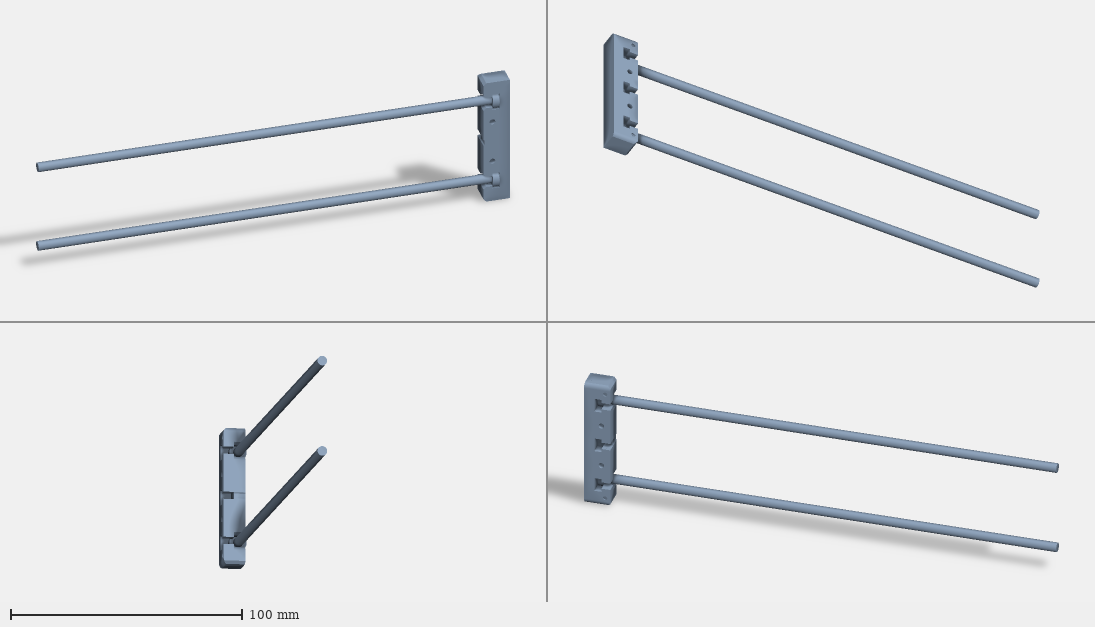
import cadquery as cq
import math

stack_height = 60.0
stack_depth = 11.9
cover_thickness = 1.31
backing_thickness = 1.87
spacer_thickness = 1.31
block_thickness = 5.0
end_round = 2.3
front_chamfer = 1.3

cover_end = cover_thickness
round_height = math.sqrt(end_round**2 - (end_round - cover_thickness) ** 2)
backing_end = cover_end + backing_thickness
spacer_end = backing_end + spacer_thickness
stack_width = spacer_end + block_thickness

overall_length = 212.0
overall_width = 10.8
rod_diameter = 4.2
rod_x = 7.0
rod_z = 20.0
head_radius = overall_width - rod_x
head_thickness = 3.2
head_chamfer = 0.5
rod_reach = overall_length - stack_depth

neck_width = 3.2
window_width = 6.4
head_y = 4.0

channel_width = 5.0
groove_mouth = 3.2
groove_floor = 2.0
groove_depth = 0.5

hole_diameter = 2.5
hole_y = 4.0
hole_z = 10.0
pin_diameter = 3.0
pin_y = 2.3
pin_z = 26.0
socket_diameter = 2.0
socket_depth = 0.6


def box(x_start, x_end, y_start, y_end, z_center, z_size):
    """Box given by its X and Y limits and its centre and size along Z."""
    corner = (x_start, y_start, z_center - z_size / 2)
    return cq.Workplane("XY").box(x_end - x_start, y_end - y_start, z_size, centered=False).translate(corner)


def prism_along_x(points, x_start, x_end):
    """Prism with a (y, z) outline, running from x_start to x_end."""
    return cq.Workplane("YZ").workplane(offset=x_start).polyline(points).close().extrude(x_end - x_start)


def cylinder_along_x(diameter, y, z, length):
    """Cylinder that starts at the cover face, x = 0."""
    return cq.Workplane("YZ").center(y, z).circle(diameter / 2).extrude(length)


def mouth(x_start, x_end, z_center, front_width, back_width, depth):
    """Tapered opening in the front face, running along X."""
    points = [
        (0, z_center - front_width / 2),
        (0, z_center + front_width / 2),
        (depth, z_center + back_width / 2),
        (depth, z_center - back_width / 2),
    ]
    return prism_along_x(points, x_start, x_end)


def layer(x_start, x_end):
    """Slice of the rounded and chamfered stack, with its through holes and pin holes."""
    half = stack_height / 2
    shoulder = half - round_height
    outline = (
        cq.Workplane("XZ")
        .moveTo(stack_width, half)
        .lineTo(cover_end, half)
        .radiusArc((0, shoulder), -end_round)
        .lineTo(0, -shoulder)
        .radiusArc((cover_end, -half), -end_round)
        .lineTo(stack_width, -half)
        .close()
    )
    stack = outline.extrude(-stack_depth)
    for side in (-1, 1):
        corner = [(0, side * half), (front_chamfer, side * half), (0, side * (half - front_chamfer))]
        stack = stack.cut(prism_along_x(corner, 0, stack_width))
        stack = stack.cut(cylinder_along_x(hole_diameter, hole_y, side * hole_z, stack_width))
        stack = stack.cut(cylinder_along_x(pin_diameter, pin_y, side * pin_z, stack_width))
    return stack.intersect(box(x_start, x_end, 0, stack_depth, 0, stack_height))


def slotted_layer(x_start, x_end):
    """Layer with a T-shaped opening at each rod and at the centre."""
    plate = layer(x_start, x_end)
    for z in (-rod_z, 0, rod_z):
        plate = plate.cut(box(x_start, x_end, 0, head_y, z, neck_width))
        plate = plate.cut(box(x_start, x_end, head_y, head_y + head_thickness, z, window_width))
    return plate


def make_block():
    """Thick layer with open channels for the headed rods and a shallow centre groove."""
    limits = (spacer_end, stack_width)
    block = layer(*limits)
    for z in (-rod_z, rod_z):
        block = block.cut(box(*limits, 0, head_y, z, channel_width))
        block = block.cut(box(*limits, head_y, head_y + head_thickness, z, 2 * head_radius))
        mouth_width = channel_width + 2 * front_chamfer
        block = block.cut(mouth(*limits, z, mouth_width, channel_width, front_chamfer))
    return block.cut(mouth(*limits, 0, groove_mouth, groove_floor, groove_depth))


def make_rod(z):
    """Long rod with a chamfered disc head held in the block."""
    head_end = cq.Workplane("XZ", origin=(rod_x, head_y + head_thickness, z))
    head = head_end.circle(head_radius).extrude(head_thickness).faces(">Y").chamfer(head_chamfer)
    shank = cq.Workplane("XZ", origin=(rod_x, head_y, z)).circle(rod_diameter / 2).extrude(head_y + rod_reach)
    return head.union(shank)


def make_pin(z):
    """Corner pin through all four layers, with a round socket in its cover end."""
    pin = cylinder_along_x(pin_diameter, pin_y, z, stack_width)
    return pin.cut(cylinder_along_x(socket_diameter, pin_y, z, socket_depth))


cover = slotted_layer(0, cover_end)
backing = slotted_layer(cover_end, backing_end)
spacer = slotted_layer(backing_end, spacer_end)
block = make_block()
rods = [make_rod(z).val() for z in (-rod_z, rod_z)]
pins = [make_pin(z).val() for z in (-pin_z, pin_z)]

result = cq.Compound.makeCompound([cover.val(), backing.val(), spacer.val(), block.val(), *rods, *pins])